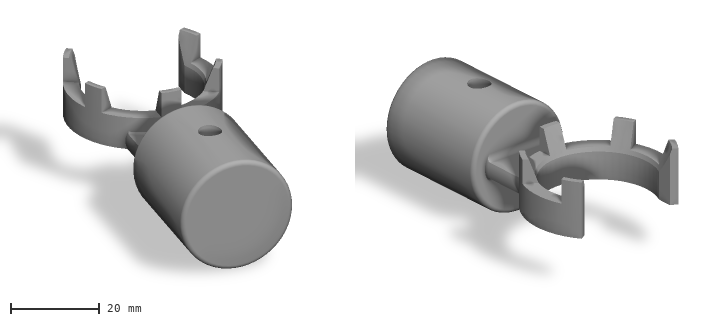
import cadquery as cq
import math


ring_outer_radius = 18.0
ring_inner_radius = 14.0
ring_height = 8.0
mouth_half_width = 12.5

tooth_width = 4.8
tooth_height = 6.0
tooth_spacing = 60.0
tooth_top_radius = 16.6
flare_depth = 1.05

plate_thickness = 4.0
neck_width = 20.0
neck_side_radius = 5.0
root_fillet = 1.4
ring_chamfer = 0.4
ring_overlap_margin = 0.35

barrel_radius = 13.5
barrel_edge_fillet = 1.05
overall_length = 70.0
barrel_length = 31.0

hole_offset = 13.9
hole_top_radius = 2.7
hole_bottom_radius = 2.3

plate_top = plate_thickness / 2
ring_bottom = -plate_top
ring_top = ring_bottom + ring_height
tooth_top = ring_top + tooth_height
tooth_angles = [i * tooth_spacing for i in range(-2, 3)]
last_tooth_angle = max(tooth_angles)

tip_angle = math.radians(last_tooth_angle) + math.asin(tooth_width / 2 / ring_outer_radius)
ring_left = ring_outer_radius * math.cos(tip_angle)
barrel_right = ring_left + overall_length
barrel_left = barrel_right - barrel_length


def tooth_block(angle):
    """Straight-sided radial bar that bounds one tooth."""
    return (
        cq.Workplane("XY", origin=(0, 0, ring_bottom))
        .rect(ring_outer_radius, tooth_width)
        .extrude(tooth_top - ring_bottom)
        .translate((ring_outer_radius / 2 + ring_inner_radius / 2, 0, 0))
        .rotate((0, 0, 0), (0, 0, 1), angle)
    )


def mouth_cutter():
    """Wedge beyond the last tooth flanks, plus the slot between the flat lands."""
    reach = 2 * ring_outer_radius
    height = tooth_top - ring_bottom
    base = cq.Workplane("XY", origin=(0, 0, ring_bottom))
    cutter = base.rect(reach, 2 * mouth_half_width).extrude(height).translate((-reach / 2, 0, 0))
    for side in (-1, 1):
        flank = (
            base.center(reach / 2, side * (tooth_width / 2 + reach / 2))
            .rect(reach, reach)
            .extrude(height)
            .rotate((0, 0, 0), (0, 0, 1), side * last_tooth_angle)
        )
        cutter = cutter.union(flank)
    return cutter


def make_clip():
    """Open ring with teeth; one flared bore shapes the ring rim and the teeth."""
    bore = (
        cq.Workplane("XZ")
        .moveTo(0, ring_bottom)
        .lineTo(ring_inner_radius, ring_bottom)
        .lineTo(ring_inner_radius, ring_top - flare_depth)
        .lineTo(tooth_top_radius, tooth_top)
        .lineTo(0, tooth_top)
        .close()
        .revolve(360, (0, 0, 0), (0, 1, 0))
    )
    base = cq.Workplane("XY", origin=(0, 0, ring_bottom))
    envelope = base.circle(ring_outer_radius).extrude(tooth_top - ring_bottom)
    clip = base.circle(ring_outer_radius).extrude(ring_height)
    for angle in tooth_angles:
        clip = clip.union(tooth_block(angle).intersect(envelope))
    return clip.cut(bore).cut(mouth_cutter())


def make_plate():
    """Plate with flared root, trimmed by a round-sided bar along X."""
    start = ring_inner_radius + ring_overlap_margin
    root_start = barrel_left - root_fillet
    root_height = plate_top + root_fillet
    bend = root_fillet * math.sqrt(0.5)
    slab = (
        cq.Workplane("XZ")
        .moveTo(start, -plate_top)
        .lineTo(root_start, -plate_top)
        .threePointArc((root_start + bend, -root_height + bend), (barrel_left, -root_height))
        .lineTo(barrel_left + barrel_edge_fillet, -root_height)
        .lineTo(barrel_left + barrel_edge_fillet, root_height)
        .lineTo(barrel_left, root_height)
        .threePointArc((root_start + bend, root_height - bend), (root_start, plate_top))
        .lineTo(start, plate_top)
        .close()
        .extrude(neck_width / 2, both=True)
    )
    collar = (
        cq.Workplane("XZ")
        .moveTo(start, plate_top)
        .lineTo(ring_outer_radius + ring_chamfer, plate_top)
        .lineTo(ring_outer_radius, plate_top + ring_chamfer)
        .lineTo(start, plate_top + ring_chamfer)
        .close()
        .revolve(360, (0, 0, 0), (0, 1, 0))
    )
    trim = (
        cq.Workplane("YZ")
        .slot2D(neck_width, 2 * neck_side_radius)
        .extrude(barrel_right)
    )
    inside_ring = (
        cq.Workplane("XY", origin=(0, 0, ring_bottom))
        .circle(start)
        .extrude(ring_height)
    )
    return slab.union(collar).intersect(trim).cut(inside_ring)


def make_barrel():
    return (
        cq.Workplane("YZ", origin=(barrel_left, 0, 0))
        .circle(barrel_radius)
        .extrude(barrel_length)
        .edges()
        .fillet(barrel_edge_fillet)
    )


def make_cross_hole():
    return (
        cq.Workplane("XY", origin=(barrel_left + hole_offset, 0, -barrel_radius))
        .circle(hole_bottom_radius)
        .workplane(offset=2 * barrel_radius)
        .circle(hole_top_radius)
        .loft(ruled=True)
    )


result = make_clip().union(make_plate()).union(make_barrel()).cut(make_cross_hole())